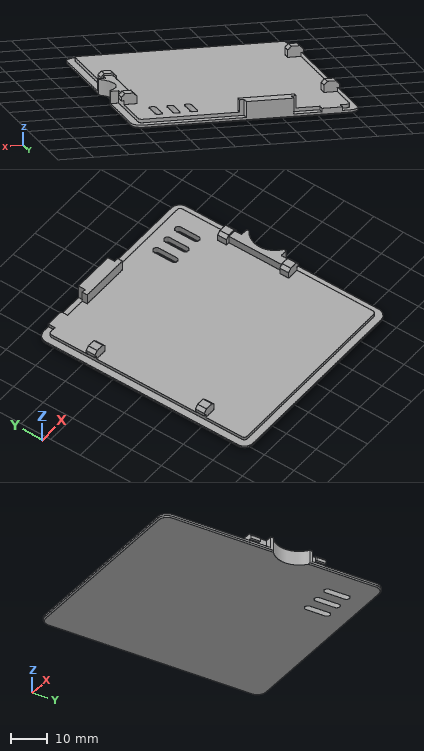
import cadquery as cq

length_x = 64.0
length_y = 71.0
flange_height = 1.0
panel_top = 2.0
flange_corner_radius = 3.0
bottom_chamfer = 0.35
rim_width = 2.3
panel_corner_radius = 1.0

left = -length_x / 2
right = length_x / 2
back = length_y / 2
panel_right = right - rim_width
panel_back = back - rim_width

tab_start = left + 5.05
tab_width = 5.8
block_center_x = left + 25.5
block_top = 5.5
block_rear_width = 13.4
block_front_width = 16.0
block_front_depth = 1.7

slot_count = 3
slot_pitch = 5.0
slot_width = 2.0
slot_length = 8.0
first_slot_x = left + 45.0
slot_center_y = back - 9.95

clip_width = 3.0
clip_top = 5.05
clip_depth = 3.75
clip_overhang = 0.7
hook_underside = 3.05
clip_chamfer = 1.0
clip_shoulder = clip_top - clip_chamfer
left_clip_centers_y = (back - 17.0, back - 53.95)

grip_center_y = back - 30.0
grip_top = 4.5
grip_thickness = 5.0
grip_edge_width = 13.4
grip_clip_spacing = 21.0
finger_radius = 7.0
finger_depth = 3.1


def box(x_min, x_max, y_min, y_max, z_min, z_max):
    """Axis-aligned box between the given limits."""
    size = (x_max - x_min, y_max - y_min, z_max - z_min)
    return cq.Workplane("XY").box(*size, centered=False).translate((x_min, y_min, z_min))


def make_plate():
    flange = (
        cq.Workplane("XY")
        .rect(length_x, length_y)
        .extrude(flange_height)
        .edges("|Z")
        .fillet(flange_corner_radius)
        .faces("<Z")
        .edges()
        .chamfer(bottom_chamfer)
    )
    panel = (
        cq.Workplane("XY")
        .workplane(offset=bottom_chamfer)
        .rect(length_x - 2 * rim_width, length_y - 2 * rim_width)
        .extrude(panel_top - bottom_chamfer)
        .edges("|Z")
        .fillet(panel_corner_radius)
    )
    return flange.union(panel)


def make_back_tab():
    return box(tab_start, tab_start + tab_width, panel_back, back, bottom_chamfer, panel_top)


def make_back_block():
    rear_half = block_rear_width / 2
    front_half = block_front_width / 2
    rear = box(
        block_center_x - rear_half, block_center_x + rear_half, panel_back, back, bottom_chamfer, block_top
    )
    front = box(
        block_center_x - front_half,
        block_center_x + front_half,
        panel_back - block_front_depth,
        panel_back,
        flange_height,
        block_top,
    )
    return rear.union(front)


def make_right_clip(center_y):
    """Clip whose hook overhangs the right edge of the panel."""
    outer = panel_right + clip_overhang
    inner = panel_right - clip_depth
    profile = [
        (inner, flange_height),
        (panel_right, flange_height),
        (panel_right, hook_underside),
        (outer, hook_underside),
        (outer, clip_shoulder),
        (outer - clip_chamfer, clip_top),
        (inner + clip_chamfer, clip_top),
        (inner, clip_shoulder),
    ]
    return (
        cq.Workplane("XZ", origin=(0, center_y, 0))
        .polyline(profile)
        .close()
        .extrude(clip_width / 2, both=True)
    )


def make_left_clip(center_y):
    return make_right_clip(center_y).mirror("YZ")


def make_grip():
    """Wall joining the two right clips, widened out to the flange edge in the middle."""
    wall_half = grip_clip_spacing / 2
    edge_half = grip_edge_width / 2
    wall = box(
        right - grip_thickness,
        panel_right,
        grip_center_y - wall_half,
        grip_center_y + wall_half,
        flange_height,
        grip_top,
    )
    edge = box(
        panel_right, right, grip_center_y - edge_half, grip_center_y + edge_half, bottom_chamfer, grip_top
    )
    return wall.union(edge)


def make_finger_cutout():
    center_x = right - finger_depth + finger_radius
    return cq.Workplane("XY").center(center_x, grip_center_y).circle(finger_radius).extrude(block_top)


def make_slots():
    centers = [(first_slot_x + i * slot_pitch, slot_center_y) for i in range(slot_count)]
    return cq.Workplane("XY").pushPoints(centers).slot2D(slot_length, slot_width, 90).extrude(panel_top)


result = make_plate().union(make_back_tab()).union(make_back_block()).union(make_grip())
for clip_y in left_clip_centers_y:
    result = result.union(make_left_clip(clip_y))
for side in (-1, 1):
    result = result.union(make_right_clip(grip_center_y + side * grip_clip_spacing / 2))
result = result.cut(make_slots()).cut(make_finger_cutout())